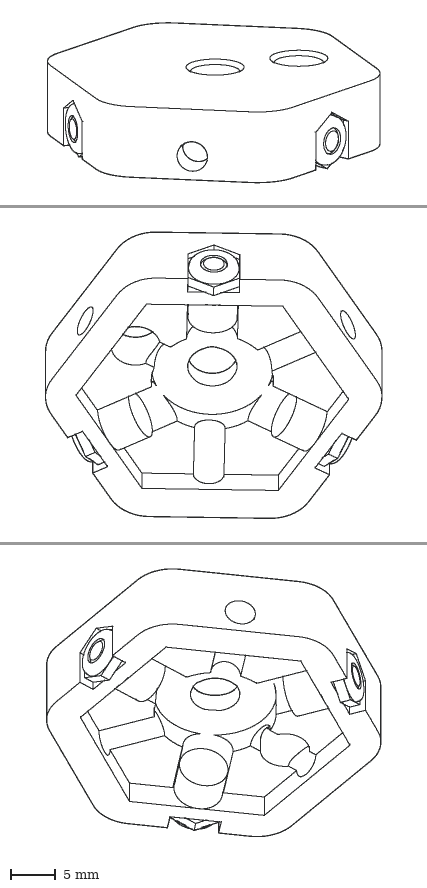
import cadquery as cq
import math

plate_length = 37.85
plate_width = 33.55
plate_height = 8.2
corner_radius = 5.0
half_corner = math.radians(30)

nut_side = 16.9
top_flat = plate_width - nut_side
corner_reach = plate_length / 2 + corner_radius * (1 / math.cos(half_corner) - 1)
bore_side = 2 * corner_reach * math.cos(half_corner) - nut_side

hole_diameter = 5.5
hole_chamfer = 0.5
hole_pitch = 10.0

screw_angles = (270, 150, 30)
axis_height = 2.72
axis_shift = 0.15
bore_diameter = 3.4

cavity_apothem = 13.15
pocket_diameter = 13.62
pocket_depth = 5.45
channel_diameter = 5.68

nut_corner_radius = 3.33
nut_thickness = 1.9
collar_length = 0.7
collar_diameter = 5.65
collar_fillet = 0.53
nut_back = nut_side - nut_thickness

screw_diameter = 3.0
tip_chamfer = 0.35
head_diameter = 5.5
head_length = 3.95


def place_on_axis(body, angle):
    """Move a body modelled along the X axis onto the screw axis that points at the given angle."""
    return body.translate((0, -axis_shift, axis_height)).rotate((0, 0, 0), (0, 0, 1), angle)


def rod(diameter, start, end):
    """Round bar along the X axis."""
    return cq.Workplane("YZ").workplane(offset=start).circle(diameter / 2).extrude(end - start)


def hex_bar(corner_distance, start, end):
    """Hexagonal bar along the X axis with one corner pointing up."""
    bar = cq.Workplane("YZ").workplane(offset=start).polygon(6, 2 * corner_distance).extrude(end - start)
    return bar.rotate((0, 0, 0), (1, 0, 0), 90)


def make_blank():
    """Solid plate with rounded corners."""
    tip_y = nut_side - bore_side
    top_x = corner_reach - (top_flat - tip_y) * math.tan(half_corner)
    bottom_x = corner_reach - (nut_side + tip_y) * math.tan(half_corner)
    corners = [
        (corner_reach, tip_y),
        (top_x, top_flat),
        (-top_x, top_flat),
        (-corner_reach, tip_y),
        (-bottom_x, -nut_side),
        (bottom_x, -nut_side),
    ]
    blank = cq.Workplane("XY").polyline(corners).close().extrude(plate_height)
    return blank.edges("|Z").fillet(corner_radius)


def make_hollow():
    """Hexagonal cavity and deeper round pocket, both open at the bottom."""
    cavity = cq.Workplane("XY").polygon(6, 2 * cavity_apothem / math.cos(half_corner)).extrude(axis_height)
    pocket = cq.Workplane("XY").circle(pocket_diameter / 2).extrude(pocket_depth)
    return cavity.union(pocket)


def make_vertical_hole(y):
    """Through hole with a chamfered mouth in the top face."""
    radius = hole_diameter / 2
    shaft = cq.Workplane("XY").center(0, y).circle(radius).extrude(plate_height)
    mouth = cq.Workplane(cq.Solid.makeCone(radius, radius + hole_chamfer, hole_chamfer))
    return shaft.union(mouth.translate((0, y, plate_height - hole_chamfer)))


def make_nut_slot():
    """Close-fitting recess for a nut, open at the side and the bottom of the plate."""
    slot_end = nut_side + nut_thickness
    slot_width = nut_corner_radius * math.sqrt(3)
    opening = cq.Workplane("XY").box(
        slot_end - nut_back, slot_width, axis_height, centered=(False, True, False)
    )
    return hex_bar(nut_corner_radius, nut_back, slot_end).union(opening.translate((nut_back, 0, -axis_height)))


def make_plate():
    plate = make_blank().cut(make_hollow())
    for y in (0, hole_pitch):
        plate = plate.cut(make_vertical_hole(y))
    bore = rod(bore_diameter, -plate_length / 2, plate_length / 2)
    head_channel = rod(channel_diameter, 0, cavity_apothem)
    for angle in screw_angles:
        for cutter in (bore, head_channel, make_nut_slot()):
            plate = plate.cut(place_on_axis(cutter, angle))
    return plate


def make_nut():
    collar = rod(collar_diameter, nut_back, nut_side).faces(">X").edges().fillet(collar_fillet)
    nut = hex_bar(nut_corner_radius, nut_back, nut_side - collar_length).union(collar)
    return nut.cut(rod(screw_diameter, nut_back, nut_side))


def make_screw():
    shank = rod(screw_diameter, cavity_apothem, nut_side).faces(">X").chamfer(tip_chamfer)
    head = rod(head_diameter, cavity_apothem - head_length, cavity_apothem)
    return shank.union(head)


plate = make_plate()
nuts = [place_on_axis(make_nut(), angle).val() for angle in screw_angles]
screws = [place_on_axis(make_screw(), angle).val() for angle in screw_angles]

result = cq.Compound.makeCompound([plate.val(), *nuts, *screws])